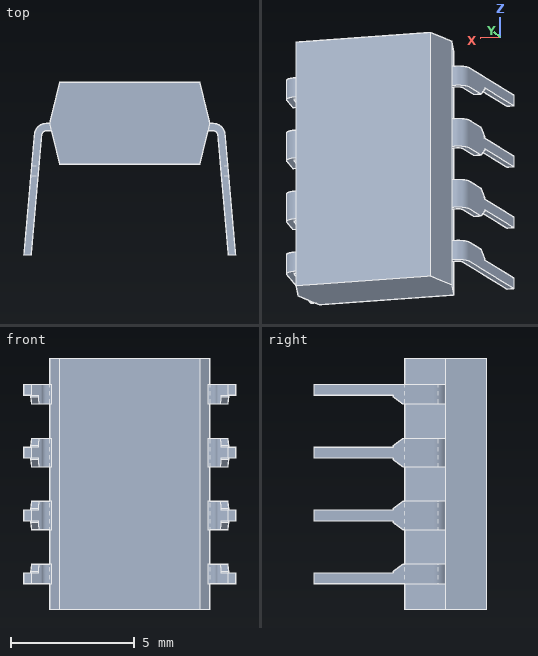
import cadquery as cq
import math

body_length = 10.16
body_depth = 3.32
face_half_width = 2.83
waist_half_width = 3.24

overall_depth = 6.99
lead_thickness = 0.3
lead_root_x = 3.05
bend_center_x = 3.36
bend_inner_radius = 0.19
bend_outer_radius = bend_inner_radius + lead_thickness
splay = math.radians(5.0)
tip_y = body_depth / 2 - overall_depth

leads_per_side = 4
pitch = 2.54
shoulder_half_width = 0.58
pin_half_width = 0.22
step_width = 0.06
taper_start_y = -1.73
taper_end_y = -2.12


def make_body():
    half_depth = body_depth / 2
    return (
        cq.Workplane("XY")
        .moveTo(-face_half_width, half_depth)
        .lineTo(face_half_width, half_depth)
        .lineTo(waist_half_width, 0)
        .lineTo(face_half_width, -half_depth)
        .lineTo(-face_half_width, -half_depth)
        .lineTo(-waist_half_width, 0)
        .close()
        .extrude(body_length / 2, both=True)
    )


def bend_point(radius, angle):
    """Point on the bend, with the angle measured from the +X direction."""
    x = bend_center_x + radius * math.cos(angle)
    y = -bend_outer_radius + radius * math.sin(angle)
    return (x, y)


def tip_point(radius):
    """Where the straight leg leaving the bend at this radius reaches the tip."""
    x, y = bend_point(radius, splay)
    return (x + (y - tip_y) * math.tan(splay), tip_y)


def make_bent_strip():
    """Bent sheet on the +X side, as long as the body."""
    halfway = (splay + math.pi / 2) / 2
    return (
        cq.Workplane("XY")
        .moveTo(lead_root_x, 0)
        .lineTo(bend_center_x, 0)
        .threePointArc(bend_point(bend_outer_radius, halfway), bend_point(bend_outer_radius, splay))
        .lineTo(*tip_point(bend_outer_radius))
        .lineTo(*tip_point(bend_inner_radius))
        .lineTo(*bend_point(bend_inner_radius, splay))
        .threePointArc(bend_point(bend_inner_radius, halfway), (bend_center_x, -lead_thickness))
        .lineTo(lead_root_x, -lead_thickness)
        .close()
        .extrude(body_length / 2, both=True)
    )


def edge_points(side, has_shoulder):
    """One long edge of a lead as (y, z) points, from the root to the tip."""
    if not has_shoulder:
        return [(0, side * pin_half_width), (tip_y, side * pin_half_width)]
    return [
        (0, side * shoulder_half_width),
        (taper_start_y, side * shoulder_half_width),
        (taper_end_y, side * (pin_half_width + step_width)),
        (taper_end_y, side * pin_half_width),
        (tip_y, side * pin_half_width),
    ]


def make_lead_blank(z, upper_shoulder, lower_shoulder):
    """Flat outline of one lead, extended in X to cover the bent strip."""
    upper_edge = edge_points(1, upper_shoulder)
    lower_edge = edge_points(-1, lower_shoulder)
    return (
        cq.Workplane("YZ", origin=(0, 0, z))
        .polyline(upper_edge + lower_edge[::-1])
        .close()
        .extrude(2 * waist_half_width)
    )


result = make_body()
strip = make_bent_strip()
last = leads_per_side - 1
for index in range(leads_per_side):
    lead_z = (index - last / 2) * pitch
    blank = make_lead_blank(lead_z, upper_shoulder=index < last, lower_shoulder=index > 0)
    lead = strip.intersect(blank)
    result = result.union(lead).union(lead.mirror("YZ"))